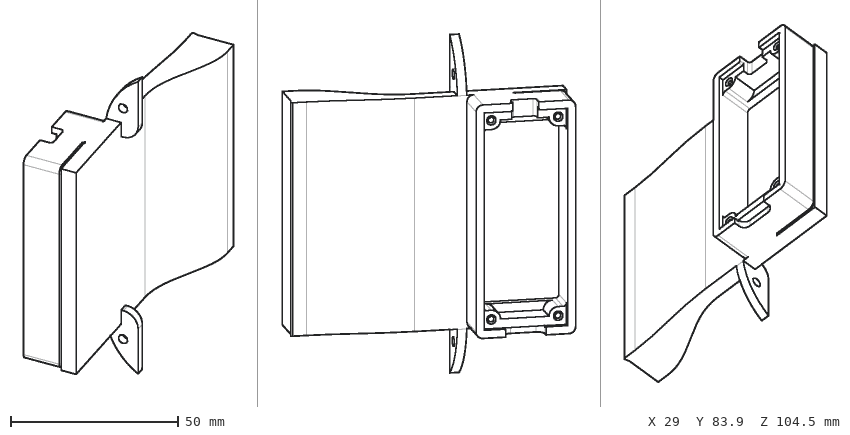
import cadquery as cq
import math


total_width = 29.0
total_length = 83.9
total_height = 104.5

plate_x = 12.5
plate_thickness = 5.0
plate_height = 72.1
plate_back_x = plate_x + plate_thickness
plate_top = plate_height / 2
flare_start_y = 46.6
flare_end_y = 79.2
flare_start_handle = 12.5
flare_end_handle = 10.9
flare_front_x = 15.0
lip_height = 0.5
lip_crest_x = 15.3
lip_foot_x = 17.1

box_length = 30.5
box_corner_radius = 2.1
wall = 2.5
floor_x = 11.9
shelf_x = 1.6
cavity_corner_radius = 1.0

screw_y_inset = 5.0
screw_z_inset = 5.3
boss_radius = 2.8
shelf_z_inset = screw_z_inset + boss_radius
recess_bottom_x = 9.4
screw_mouth_diameter = 2.8
screw_hole_diameter = 1.8
screw_depth = 5.2

notch_bottom_x = 4.1
top_notch_width = 7.9
top_notch_radius = 0.9
bottom_notch_width = 12.3
bottom_notch_radius = 2.3
notch_lip_radius = 0.5

bevel = 0.6
bevel_length = 15.7

tab_thickness = 2.9
tab_back_x = 23.2
tab_hole_diameter = 2.9
tab_hole_rise = 5.2
tab_heel_radius = 5.0
tab_arc_radius = 22.7

box_mid_y = box_length / 2
half_shelf_z = plate_top - shelf_z_inset


def block(x0, x1, y0, y1, z0, z1):
    """Axis-aligned block between two opposite corners."""
    return cq.Workplane("XY").box(x1 - x0, y1 - y0, z1 - z0, centered=False).translate((x0, y0, z0))


def flared_plate():
    """Plate whose two faces swing to +X along S-curves, ending in a small raised lip."""
    start_handle_y = flare_start_y + flare_start_handle
    end_handle_y = flare_end_y - flare_end_handle
    end_y = total_length - lip_height
    return (
        cq.Workplane("XY", origin=(0, 0, -plate_top))
        .moveTo(plate_x, 0)
        .lineTo(plate_back_x, 0)
        .lineTo(plate_back_x, flare_start_y)
        .bezier(
            [
                (plate_back_x, start_handle_y),
                (total_width, end_handle_y),
                (total_width, flare_end_y),
            ],
            includeCurrent=True,
        )
        .lineTo(total_width, end_y)
        .lineTo(lip_foot_x, end_y)
        .lineTo(lip_crest_x, total_length)
        .lineTo(flare_front_x, end_y)
        .lineTo(flare_front_x, flare_end_y)
        .bezier(
            [
                (flare_front_x, end_handle_y),
                (plate_x, start_handle_y),
                (plate_x, flare_start_y),
            ],
            includeCurrent=True,
        )
        .close()
        .extrude(plate_height)
    )


def box_cavity():
    """Shallow full-size seat, deep middle pocket and the recess between each pair of bosses."""
    cavity_y0, cavity_y1 = wall, box_length - wall
    seat_z = plate_top - wall
    seat = block(0, shelf_x, cavity_y0, cavity_y1, -seat_z, seat_z)
    pocket = block(0, floor_x, cavity_y0, cavity_y1, -half_shelf_z, half_shelf_z)
    pocket = pocket.edges("|X").fillet(cavity_corner_radius)
    recess_z = plate_top - screw_z_inset
    recess = block(0, recess_bottom_x, screw_y_inset, box_length - screw_y_inset, -recess_z, recess_z)
    for y, z in screw_centers():
        boss = cq.Workplane("YZ", origin=(0, y, z)).circle(boss_radius).extrude(recess_bottom_x)
        recess = recess.cut(boss)
    return seat.union(pocket).union(recess)


def screw_centers():
    return [
        (y, z)
        for y in (screw_y_inset, box_length - screw_y_inset)
        for z in (screw_z_inset - plate_top, plate_top - screw_z_inset)
    ]


def screw_hole(y, z):
    """Blind hole sunk from the shelf face, with a 45 degree countersink at the mouth."""
    mouth_radius = screw_mouth_diameter / 2
    sink_depth = mouth_radius - screw_hole_diameter / 2
    mouth = cq.Workplane("YZ", origin=(shelf_x, y, z))
    hole = mouth.circle(screw_hole_diameter / 2).extrude(screw_depth)
    countersink = mouth.circle(mouth_radius).extrude(sink_depth, taper=45)
    return hole.union(countersink)


def notch(width, radius, z0, z1):
    """Cable notch in an end wall, with its two bottom corners rounded."""
    cutter = block(0, notch_bottom_x, box_mid_y - width / 2, box_mid_y + width / 2, z0, z1)
    return cutter.edges("|Z and >X").fillet(radius)


def round_notch_lip(body, width, z):
    """Round the two short edges where a notch breaks through the inner face of an end wall."""
    half_span = width / 2 + notch_lip_radius
    lip = cq.selectors.BoxSelector(
        (0, box_mid_y - half_span, z - notch_lip_radius),
        (shelf_x, box_mid_y + half_span, z + notch_lip_radius),
    )
    return body.edges("|X").edges(lip).fillet(notch_lip_radius)


def undercut():
    """Material removed by the 45 degree bevel around three sides of the box, with a slanted inner end."""
    bevel_x = plate_x - bevel
    band = (
        cq.Workplane("XY", origin=(0, 0, -plate_top))
        .moveTo(bevel_x, 0)
        .lineTo(plate_x, 0)
        .lineTo(plate_x, bevel_length + bevel)
        .lineTo(bevel_x, bevel_length)
        .close()
        .extrude(plate_height)
    )
    outline = cq.Sketch().rect(box_length, plate_height).vertices().fillet(box_corner_radius)
    core = cq.Workplane("YZ", origin=(bevel_x, box_mid_y, 0)).placeSketch(outline).extrude(bevel, taper=45)
    return band.cut(core)


def box():
    body = block(0, plate_x, 0, box_length, -plate_top, plate_top)
    body = body.edges("|X").fillet(box_corner_radius)
    body = body.cut(box_cavity())
    body = body.cut(notch(top_notch_width, top_notch_radius, half_shelf_z, plate_top))
    body = body.cut(notch(bottom_notch_width, bottom_notch_radius, -plate_top, wall - plate_top))
    body = round_notch_lip(body, top_notch_width, plate_top - wall)
    body = round_notch_lip(body, bottom_notch_width, wall - plate_top)
    for y, z in screw_centers():
        body = body.cut(screw_hole(y, z))
    return body.cut(undercut())


def upper_tab():
    """Sail-shaped ear: curved front edge, straight back edge, round heel beside the plate."""
    tip = (tab_back_x, total_height / 2)
    root = (plate_x, plate_top)
    chord_x, chord_z = tip[0] - root[0], tip[1] - root[1]
    chord = math.hypot(chord_x, chord_z)
    bulge = tab_arc_radius - math.sqrt(tab_arc_radius**2 - (chord / 2) ** 2)
    arc_middle = (
        (root[0] + tip[0]) / 2 - bulge * chord_z / chord,
        (root[1] + tip[1]) / 2 + bulge * chord_x / chord,
    )
    heel_x = tab_back_x - tab_heel_radius
    heel_diagonal = tab_heel_radius * math.sqrt(0.5)
    return (
        cq.Workplane("XZ", origin=(0, box_length + tab_thickness, 0))
        .moveTo(*root)
        .threePointArc(arc_middle, tip)
        .lineTo(tab_back_x, plate_top)
        .threePointArc(
            (heel_x + heel_diagonal, plate_top - heel_diagonal),
            (heel_x, plate_top - tab_heel_radius),
        )
        .lineTo(plate_x, plate_top - tab_heel_radius)
        .close()
        .moveTo(heel_x, plate_top + tab_hole_rise)
        .circle(tab_hole_diameter / 2)
        .extrude(tab_thickness)
    )


tab = upper_tab()
result = flared_plate().union(box()).union(tab).union(tab.mirror("XY"))